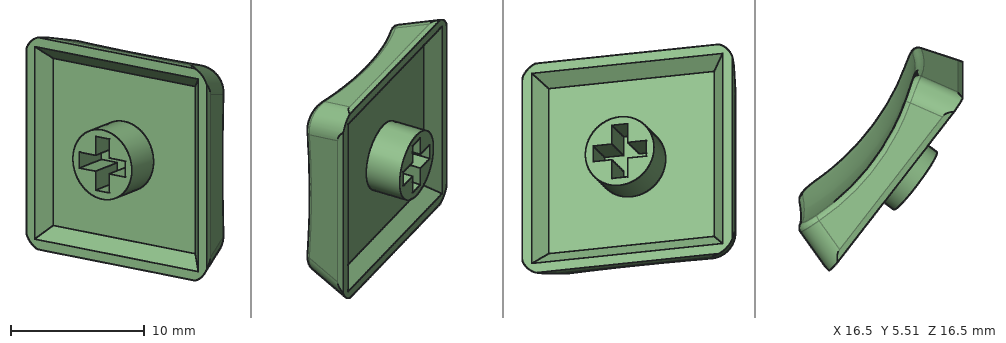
import cadquery as cq
import math


rim_size = 16.5
skirt_height = 0.5
wall_slope = 0.286
corner_radius = 2.0
blank_height = 4.62

dish_floor_height = 2.05
dish_radius_x = 17.65
dish_radius_z = 66.0
dish_half_width = 9.9
dish_edge_radius = 0.5

rim_width = 0.76
cavity_depth = 1.0
cavity_taper = 44.5

stem_diameter = 5.4
stem_projection = 1.82
cross_span = 4.19
cross_arm_width = 1.24
socket_depth = stem_projection + cavity_depth


def plane_at(height):
    """XZ plane at Y = height, with its normal along +Y and local x along +X."""
    return cq.Workplane(cq.Plane((0, height, 0), (1, 0, 0), (0, 1, 0)))


def tapered_blank():
    """Tapered block with rounded corners, trimmed to the straight skirt."""
    base_size = rim_size + 2 * wall_slope * skirt_height
    taper = math.degrees(math.atan(wall_slope))
    frustum = plane_at(0).rect(base_size, base_size).extrude(blank_height, taper=taper)
    rounded = frustum.edges("not(#Y)").fillet(corner_radius)
    skirt_envelope = plane_at(0).rect(rim_size, rim_size).extrude(blank_height)
    return rounded.intersect(skirt_envelope)


def dish_cutter():
    """Barrel whose surface curves in both directions to form the dish."""
    axis_height = dish_floor_height + dish_radius_z
    arc_rise = dish_radius_x - math.sqrt(dish_radius_x**2 - dish_half_width**2)
    edge_height = dish_floor_height + arc_rise
    return (
        cq.Workplane("XY")
        .moveTo(-dish_half_width, axis_height)
        .lineTo(-dish_half_width, edge_height)
        .threePointArc((0, dish_floor_height), (dish_half_width, edge_height))
        .lineTo(dish_half_width, axis_height)
        .close()
        .revolve(360, (0, axis_height, 0), (1, axis_height, 0))
    )


def cavity():
    opening = rim_size - 2 * rim_width
    return plane_at(0).rect(opening, opening).extrude(cavity_depth, taper=cavity_taper)


def stem():
    return plane_at(-stem_projection).circle(stem_diameter / 2).extrude(stem_projection + cavity_depth)


def cross_socket():
    bottom = plane_at(-stem_projection)
    wide_slot = bottom.rect(cross_span, cross_arm_width).extrude(socket_depth)
    tall_slot = bottom.rect(cross_arm_width, cross_span).extrude(socket_depth)
    return wide_slot.union(tall_slot)


shell = tapered_blank().cut(dish_cutter())
shell = shell.faces(">Y").edges().fillet(dish_edge_radius)
result = shell.cut(cavity()).union(stem()).cut(cross_socket())